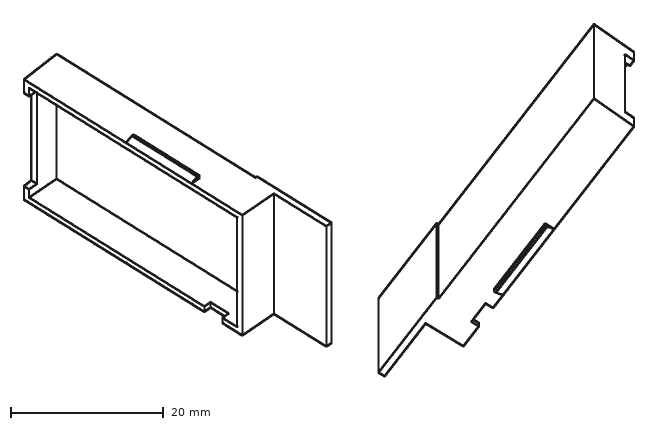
import cadquery as cq

total_length = 49.5
tray_length = 40.0
tray_depth = 6.7
tray_height = 20.8
end_lean = 0.45

wall = 0.95
cavity_depth = 5.2

tab_thickness = 1.0
tab_step = 0.3
tab_start = 36.0

ridge_start = 18.9
ridge_length = 11.9
ridge_depth = 1.5
ridge_rise = 0.5
ridge_flat = 0.35

end_notch_margin = 2.4
end_notch_depth = 1.5
side_notch_start = 33.1
side_notch_length = 3.25
side_notch_depth = 1.2


def box_from(corner, size):
    """Box with its lowest corner at the given point."""
    return cq.Workplane("XY").box(*size, centered=False).translate(corner)


def tray_body():
    """Solid tray block whose -X end leans inward toward the open face."""
    outline = [(end_lean, 0), (tray_length, 0), (tray_length, tray_depth), (0, tray_depth)]
    return cq.Workplane("XY").polyline(outline).close().extrude(tray_height)


def mounting_tab():
    back = tray_depth + tab_step
    return box_from(
        (tab_start, back - tab_thickness, 0),
        (total_length - tab_start, tab_thickness, tray_height),
    )


def cavity():
    left = end_lean + wall
    return box_from(
        (left, 0, wall),
        (tray_length - wall - left, cavity_depth, tray_height - 2 * wall),
    )


def end_notch():
    """Wide cut through the leaning end wall."""
    return box_from(
        (0, 0, end_notch_margin),
        (end_lean + wall, end_notch_depth, tray_height - 2 * end_notch_margin),
    )


def side_notch():
    """Small cut through the -Z wall."""
    return box_from((side_notch_start, 0, 0), (side_notch_length, side_notch_depth, wall))


def top_ridge():
    """Wedge on the +Z side, rising from the open face to a narrow flat crest."""
    profile = [
        (0, tray_height),
        (ridge_depth - ridge_flat, tray_height + ridge_rise),
        (ridge_depth, tray_height + ridge_rise),
        (ridge_depth, tray_height),
    ]
    ridge = cq.Workplane("YZ").polyline(profile).close().extrude(ridge_length)
    return ridge.translate((ridge_start, 0, 0))


bottom_ridge = top_ridge().mirror("XY", (0, 0, tray_height / 2))

result = (
    tray_body()
    .union(mounting_tab())
    .cut(cavity())
    .cut(end_notch())
    .cut(side_notch())
    .union(top_ridge())
    .union(bottom_ridge)
)